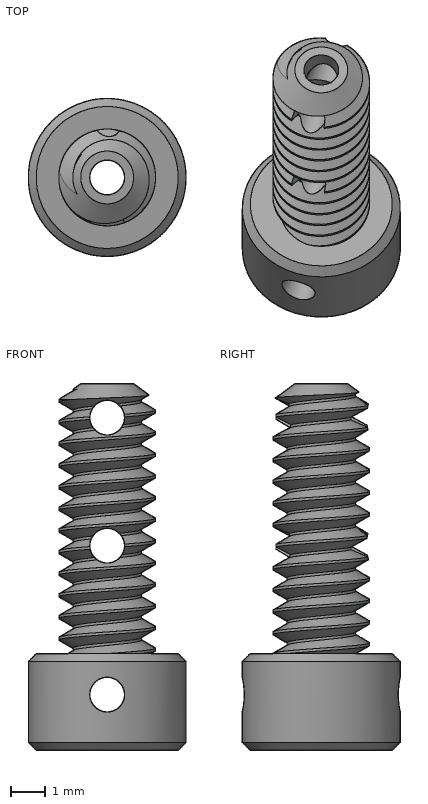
import cadquery as cq
import math

total_length = 10.78
head_diameter = 4.65
thread_diameter = 2.85
head_height = thread_diameter
head_chamfer = 0.24
hole_diameter = 1.01

tip_radius = 0.78
tip_chamfer_drop = 0.47

pitch = 0.64
thread_flat = pitch / 8
flank_slope = math.tan(math.radians(30))
thread_radius = thread_diameter / 2
thread_depth = (pitch - 2 * thread_flat) / (2 * flank_slope)
root_radius = thread_radius - thread_depth
first_crest_rise = 0.12
ridge_turns = 15
buried_turns = 2
ridge_overlap = 0.02
core_seam_angle = 37
envelope_clearance = 0.22

cross_hole_heights = (1.64, 6.02, 9.78)


def make_head():
    head = cq.Workplane("XY").circle(head_diameter / 2).extrude(head_height)
    return head.edges("%CIRCLE").chamfer(head_chamfer)


def make_thread_ridge():
    """Right-handed ridge that starts inside the head and ends above the tip."""
    start_height = head_height + first_crest_rise - buried_turns * pitch
    inner_radius = root_radius - ridge_overlap
    crest_half_width = thread_flat / 2
    inner_half_width = crest_half_width + (thread_radius - inner_radius) * flank_slope
    helix = cq.Wire.makeHelix(pitch, ridge_turns * pitch, root_radius)
    ridge = (
        cq.Workplane("XZ")
        .polyline([
            (inner_radius, -inner_half_width),
            (thread_radius, -crest_half_width),
            (thread_radius, crest_half_width),
            (inner_radius, inner_half_width),
        ])
        .close()
        .sweep(cq.Workplane(obj=helix), isFrenet=True)
    )
    return ridge.translate((0, 0, start_height))


def make_tip_envelope():
    """Loose cylinder with a conical top that trims the thread to the chamfered tip."""
    envelope_radius = thread_radius + envelope_clearance
    tip_slope = tip_chamfer_drop / (thread_radius - tip_radius)
    cone_base = total_length - (envelope_radius - tip_radius) * tip_slope
    return (
        cq.Workplane("XZ")
        .moveTo(0, head_height / 2)
        .lineTo(envelope_radius, head_height / 2)
        .lineTo(envelope_radius, cone_base)
        .lineTo(tip_radius, total_length)
        .lineTo(0, total_length)
        .close()
        .revolve(360, (0, 0, 0), (0, 1, 0))
    )


def make_shank():
    """Root cylinder and thread, trimmed at the tip; its lower end is buried in the head."""
    core = cq.Workplane("XY").circle(root_radius).extrude(total_length + pitch)
    core = core.rotate((0, 0, 0), (0, 0, 1), core_seam_angle)
    return core.union(make_thread_ridge()).intersect(make_tip_envelope())


def make_cross_hole(height):
    return (
        cq.Workplane("XZ")
        .center(0, height)
        .circle(hole_diameter / 2)
        .extrude(head_diameter, both=True)
    )


screw = make_head().union(make_shank())

screw = screw.cut(cq.Workplane("XY").circle(hole_diameter / 2).extrude(total_length))

for hole_height in cross_hole_heights:
    screw = screw.cut(make_cross_hole(hole_height))

result = screw